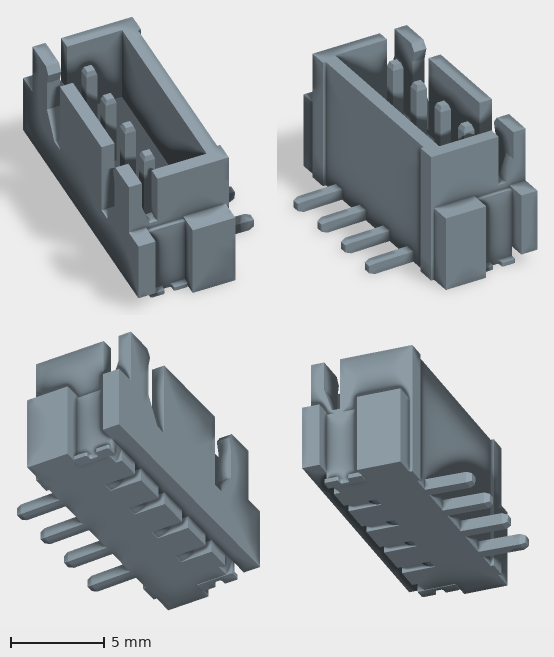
import cadquery as cq
import math


WIDTH = 15.0
SHROUD_WIDTH = 12.51
DEPTH = 5.7
BOTTOM_Z = 0.05
TOP_Z = 7.75
FRONT_WALL = 0.76
CAVITY_WIDTH = 10.98
CAVITY_BACK_Y = 4.92
FLOOR_Z = 3.0
WING_TOP_Z = 4.52
FRONT_WING_DEPTH = 1.0
REAR_WING_Y = 3.2
OVERHANG_Z = 0.82
BACK_RIB_DEPTH = 0.18
BACK_RIB_WIDTH = 1.11
FOOT_BEVEL_ANGLE = 25.5

LATCH_INNER_X = 2.7
LATCH_FOOT_X = 3.42
LATCH_SIDE_X = 4.38
LATCH_LIP_X = 4.2
LATCH_MOUTH_X = 4.5
LATCH_FLOOR_Z = 3.25
LATCH_SIDE_BOTTOM_Z = 4.77
LATCH_SIDE_TOP_Z = 6.66
LATCH_LIP_Z = 7.34

NOTCH_BACK_Y = 1.68
NOTCH_FLOOR_FRONT_Y = 1.22
NOTCH_FLOOR_Z = 4.74
NOTCH_SLOPE_TOP_Z = 6.09

PIN_COUNT = 4
PIN_SPAN = 7.5
PIN_SIZE = 0.65
PIN_FRONT_Y = 1.89
PIN_TOP_Z = 7.41
PIN_END_Y = 8.4
PIN_TIP_LENGTH = 0.3
PIN_TIP_TAPER = 18.0
PIN_BEND_RADIUS = 1.0
PIN_BEND_ANGLE = 89.0

CLIP_THICKNESS = 0.24
CLIP_TOP_Z = 4.38
CLIP_FLANGE_X = 6.9
CLIP_NOTCH_WIDTH = 0.54
CLIP_CORNER_RADIUS = 0.09
CLIP_NOTCH_RADIUS = 0.14


def box(x_min, x_max, y_min, y_max, z_min, z_max):
    """Axis-aligned box between the given limits."""
    size = (x_max - x_min, y_max - y_min, z_max - z_min)
    return cq.Workplane("XY").box(*size, centered=False).translate((x_min, y_min, z_min))


def centred_box(width, y_min, y_max, z_min, z_max):
    """Box symmetric about X = 0."""
    return box(-width / 2, width / 2, y_min, y_max, z_min, z_max)


def mirrored_pair(shape):
    """The shape together with its mirror image across X = 0."""
    return shape.union(shape.mirror("YZ"))


bend_sweep = math.radians(PIN_BEND_ANGLE)
tail_dip = math.radians(90 - PIN_BEND_ANGLE)
bend_centre_y = PIN_FRONT_Y + PIN_BEND_RADIUS
tail_run = PIN_END_Y - bend_centre_y
bend_centre_z = PIN_BEND_RADIUS / math.cos(tail_dip) + (tail_run - PIN_TIP_LENGTH) * math.tan(tail_dip)
pin_pitch = PIN_SPAN / (PIN_COUNT - 1)
pin_positions = [pin_pitch * (i - (PIN_COUNT - 1) / 2) for i in range(PIN_COUNT)]


def make_pin(x):
    """Square pin: vertical shank, rounded bend, tail toward +Y, both ends tapered."""
    section = cq.Workplane("XY", origin=(x, PIN_FRONT_Y + PIN_SIZE / 2, bend_centre_z))
    shank_length = PIN_TOP_Z - PIN_TIP_LENGTH - bend_centre_z
    shank = section.rect(PIN_SIZE, PIN_SIZE).extrude(shank_length)
    shank_tip = (
        section.workplane(offset=shank_length)
        .rect(PIN_SIZE, PIN_SIZE)
        .extrude(PIN_TIP_LENGTH, taper=PIN_TIP_TAPER)
    )
    axis_offset = PIN_BEND_RADIUS - PIN_SIZE / 2
    bend = section.rect(PIN_SIZE, PIN_SIZE).revolve(
        PIN_BEND_ANGLE, (-0.15, axis_offset, 0), (0.15, axis_offset, 0)
    )

    tail_direction = (0, math.sin(bend_sweep), -math.cos(bend_sweep))
    tail_start = (
        x,
        bend_centre_y - axis_offset * math.cos(bend_sweep),
        bend_centre_z - axis_offset * math.sin(bend_sweep),
    )
    tip_half = PIN_SIZE / 2 - PIN_TIP_LENGTH * math.tan(math.radians(PIN_TIP_TAPER))
    tail_reach = PIN_END_Y - tip_half * math.sin(tail_dip) - tail_start[1]
    tail_length = tail_reach / math.sin(bend_sweep) - PIN_TIP_LENGTH
    tail_section = cq.Workplane(cq.Plane(tail_start, (1, 0, 0), tail_direction))
    tail = tail_section.rect(PIN_SIZE, PIN_SIZE).extrude(tail_length)
    tail_tip = (
        tail_section.workplane(offset=tail_length)
        .rect(PIN_SIZE, PIN_SIZE)
        .extrude(PIN_TIP_LENGTH, taper=PIN_TIP_TAPER)
    )
    return shank.union(shank_tip).union(bend).union(tail).union(tail_tip)


def make_clip():
    """L-shaped solder clip on the +X side: upright plate and a notched foot flange."""
    inner_x = SHROUD_WIDTH / 2
    plate_x = inner_x + CLIP_THICKNESS
    middle_y = (FRONT_WING_DEPTH + REAR_WING_Y) / 2
    plate = box(inner_x, plate_x, FRONT_WING_DEPTH, REAR_WING_Y, 0, CLIP_TOP_Z)
    flange = box(inner_x, CLIP_FLANGE_X, FRONT_WING_DEPTH, REAR_WING_Y, 0, CLIP_THICKNESS)
    notch = box(
        plate_x,
        CLIP_FLANGE_X,
        middle_y - CLIP_NOTCH_WIDTH / 2,
        middle_y + CLIP_NOTCH_WIDTH / 2,
        0,
        CLIP_THICKNESS,
    )
    flange = flange.cut(notch)
    flange = flange.edges("|Z").edges(">X").fillet(CLIP_CORNER_RADIUS)
    root_edges = cq.selectors.BoxSelector(
        (inner_x + CLIP_THICKNESS / 2, middle_y - CLIP_NOTCH_WIDTH, 0),
        (plate_x + CLIP_THICKNESS / 2, middle_y + CLIP_NOTCH_WIDTH, CLIP_THICKNESS),
    )
    flange = flange.edges("|Z").edges(root_edges).fillet(CLIP_NOTCH_RADIUS)
    return plate.union(flange)


def housing_blank():
    """Solid shroud, wings and back ribs, with the raised front strip."""
    shroud = centred_box(SHROUD_WIDTH, 0, DEPTH, BOTTOM_Z, TOP_Z)
    front_wings = centred_box(WIDTH, 0, FRONT_WING_DEPTH, BOTTOM_Z, WING_TOP_Z)
    rear_wings = centred_box(WIDTH, REAR_WING_Y, DEPTH, BOTTOM_Z, WING_TOP_Z)
    rib_x = SHROUD_WIDTH / 2
    rib = box(rib_x - BACK_RIB_WIDTH, rib_x, DEPTH, DEPTH + BACK_RIB_DEPTH, BOTTOM_Z, TOP_Z)
    undercut = centred_box(WIDTH, 0, FRONT_WING_DEPTH, BOTTOM_Z, OVERHANG_Z)
    return shroud.union(front_wings).union(rear_wings).union(mirrored_pair(rib)).cut(undercut)


def latch_openings():
    """Pair of openings through the front wall."""
    opening = (
        cq.Workplane("XZ")
        .moveTo(LATCH_INNER_X, TOP_Z)
        .lineTo(LATCH_INNER_X, LATCH_FLOOR_Z)
        .lineTo(LATCH_FOOT_X, LATCH_FLOOR_Z)
        .lineTo(LATCH_SIDE_X, LATCH_SIDE_BOTTOM_Z)
        .lineTo(LATCH_SIDE_X, LATCH_SIDE_TOP_Z)
        .lineTo(LATCH_LIP_X, LATCH_LIP_Z)
        .lineTo(LATCH_MOUTH_X, TOP_Z)
        .close()
        .extrude(-FRONT_WALL)
    )
    return mirrored_pair(opening)


def side_notches():
    """Notch across both side walls, sloped on its front side."""
    return (
        cq.Workplane("YZ")
        .moveTo(NOTCH_BACK_Y, TOP_Z)
        .lineTo(NOTCH_BACK_Y, NOTCH_FLOOR_Z)
        .lineTo(NOTCH_FLOOR_FRONT_Y, NOTCH_FLOOR_Z)
        .lineTo(FRONT_WALL, NOTCH_SLOPE_TOP_Z)
        .lineTo(FRONT_WALL, TOP_Z)
        .close()
        .extrude(SHROUD_WIDTH / 2, both=True)
    )


def foot_bevels():
    """Wedges that bevel the front of the foot below the two side walls."""
    height = OVERHANG_Z - BOTTOM_Z
    set_back = height * math.tan(math.radians(FOOT_BEVEL_ANGLE))
    wedge = (
        cq.Workplane("YZ", origin=(CAVITY_WIDTH / 2, 0, 0))
        .moveTo(FRONT_WING_DEPTH, OVERHANG_Z)
        .lineTo(FRONT_WING_DEPTH, BOTTOM_Z)
        .lineTo(FRONT_WING_DEPTH + set_back, BOTTOM_Z)
        .close()
        .extrude((SHROUD_WIDTH - CAVITY_WIDTH) / 2)
    )
    return mirrored_pair(wedge)


def pin_slot(x):
    """Slot in the foot, open to the front, that clears one pin bend."""
    half = PIN_SIZE / 2
    return box(x - half, x + half, FRONT_WING_DEPTH, bend_centre_y, BOTTOM_Z, OVERHANG_Z)


def make_housing(pins):
    """Housing with its cavity and openings, and a matching passage for every pin."""
    cavity = centred_box(CAVITY_WIDTH, FRONT_WALL, CAVITY_BACK_Y, FLOOR_Z, TOP_Z)
    body = housing_blank().cut(cavity).cut(latch_openings()).cut(side_notches()).cut(foot_bevels())
    for x, pin in zip(pin_positions, pins):
        body = body.cut(pin_slot(x)).cut(pin)
    return body


pins = [make_pin(x) for x in pin_positions]
right_clip = make_clip()
left_clip = right_clip.mirror("YZ")
housing = make_housing(pins)

result = cq.Compound.makeCompound(
    [housing.val(), *[pin.val() for pin in pins], right_clip.val(), left_clip.val()]
)